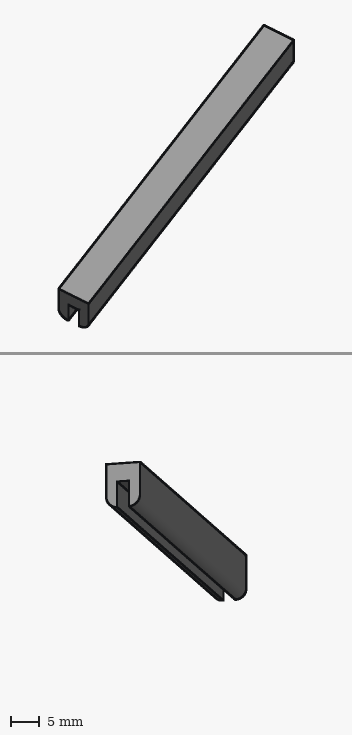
import cadquery as cq

length = 68.0
width = 6.2
height = 7.9
slot_width = 2.2
slot_depth = 4.6

leg_thickness = (width - slot_width) / 2
rounding_radius = leg_thickness


def rounded_bar():
    """Bar along Y with both long bottom edges rounded."""
    bar = cq.Workplane("XY").box(width, length, height, centered=(True, True, False))
    return bar.edges("|Y and <Z").fillet(rounding_radius)


def bottom_slot():
    """Full-length slot, open at the bottom, that leaves two legs."""
    return cq.Workplane("XY").box(slot_width, length, slot_depth, centered=(True, True, False))


result = rounded_bar().cut(bottom_slot())